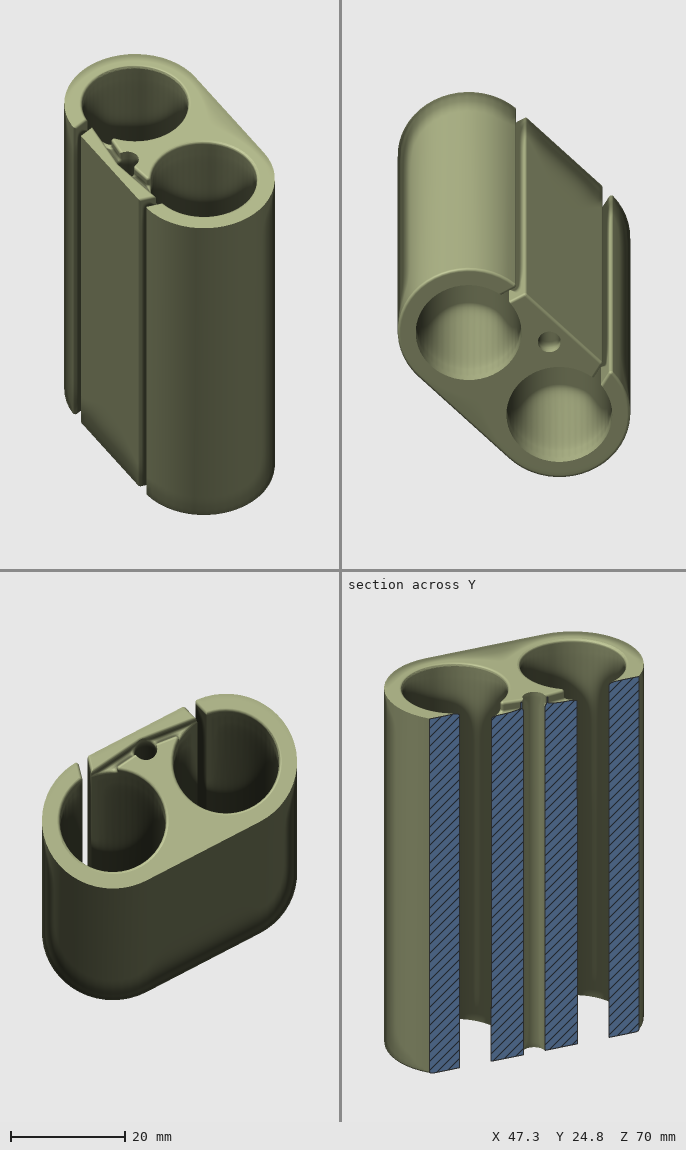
import cadquery as cq
import math

height = 70.0
bore_spacing = 22.49
outer_radius = 12.4
bore_radius = 9.25

slot_width = 1.75
slot_tilt = 15.0
slot_offset = 10.55
slot_length = 10.0

hole_diameter = 4.01
hole_y = -8.72

channel_width = 1.5
channel_depth = 2.0
channel_center_y = -9.8
channel_tilt = 6.5
channel_reach = 12.0

edge_radius = 0.5

overshoot = 1.0
slack = 0.05

half_spacing = bore_spacing / 2
channel_floor = height - channel_depth


def pick_edges(part, wanted):
    """Select the edges whose shape and bounding box satisfy the given test."""
    return part.newObject([edge for edge in part.edges().vals() if wanted(edge, edge.BoundingBox())])


def rounding_waste(part, wanted):
    """Material that rounding the chosen edges of a part takes away."""
    return part.cut(pick_edges(part, wanted).fillet(edge_radius))


def make_body():
    """Stadium block with its bottom outer edge rounded."""
    block = cq.Workplane("XY").slot2D(bore_spacing + 2 * outer_radius, 2 * outer_radius).extrude(height)
    return block.faces("<Z").edges().fillet(edge_radius)


def make_bores():
    """Two through bores, one at each end of the block."""
    centers = [(-half_spacing, 0), (half_spacing, 0)]
    return cq.Workplane("XY").pushPoints(centers).circle(bore_radius).extrude(height)


def make_slot(side):
    """Full-height slot through the front wall; side is -1 for left, +1 for right."""
    blade = cq.Workplane("XY").box(slot_width, slot_length, height, centered=(True, True, False))
    blade = blade.rotate((0, 0, 0), (0, 0, 1), -side * slot_tilt)
    return blade.translate((side * slot_offset, -outer_radius, 0))


def make_channel():
    """V-shaped channel whose floor corners are rounded."""
    tilt = math.radians(channel_tilt)
    rise = channel_reach * math.tan(tilt)
    half_width = channel_width / 2 / math.cos(tilt)
    front_y = channel_center_y - half_width
    back_y = channel_center_y + half_width
    outline = [
        (-channel_reach, front_y + rise),
        (0, front_y),
        (channel_reach, front_y + rise),
        (channel_reach, back_y + rise),
        (0, back_y),
        (-channel_reach, back_y + rise),
    ]
    floor = cq.Workplane("XY").workplane(offset=channel_floor)
    channel = floor.polyline(outline).close().extrude(channel_depth + overshoot)
    lengthwise = pick_edges(channel.faces("<Z"), lambda edge, box: box.xlen > slack)
    return lengthwise.fillet(edge_radius)


def make_hole():
    """Pin hole through the full height."""
    return cq.Workplane("XY").center(0, hole_y).circle(hole_diameter / 2).extrude(height)


def is_slot_mouth(edge, box):
    """Vertical outer corner of a slot, leaving out the seam where the end arc meets the flat front."""
    near_slot = abs(abs(box.center.x) - slot_offset) < slot_width
    on_seam = abs(abs(box.center.x) - half_spacing) < slack
    tall = box.zlen > height / 2
    return tall and near_slot and not on_seam and box.ymax < slack - outer_radius


def is_floor_end(edge, box):
    """Edge where the channel floor breaks into a bore."""
    middle = edge.positionAt(0.5)
    bore_distance = math.hypot(abs(middle.x) - half_spacing, middle.y)
    on_bore = abs(bore_distance - bore_radius) < slack
    near_floor = box.zmin > channel_floor - slack and box.zmax < height - slack
    return on_bore and near_floor and box.xlen > slack and box.zlen < channel_depth / 2


def is_top_rim(edge, box):
    """Bore rim, slot side, channel front or left channel back edge on the top face."""
    if box.zmin < height - slack:
        return False
    if edge.geomType() == "CIRCLE":
        return abs(edge.radius() - bore_radius) < slack
    off_outside = slack - outer_radius < box.center.y < 0
    right_back = box.center.x > 0 and box.ymin > channel_center_y
    return off_outside and not right_back


def is_hole_corner(edge, box):
    """Vertical edge where the pin hole breaks into a channel wall."""
    upright = channel_depth / 2 > box.zlen - slack - edge_radius and box.xlen < slack
    tall_enough = box.zlen > channel_depth / 2 - slack
    near_hole = abs(box.center.x) < hole_diameter / 2 + slack and box.ymax < hole_y - slack
    return upright and tall_enough and near_hole and box.zmin > channel_floor - slack


sharp = make_body().cut(make_bores())
for side in (-1, 1):
    sharp = sharp.cut(make_slot(side))
sharp = sharp.cut(make_channel())

mouth_waste = rounding_waste(sharp, is_slot_mouth)
corner_waste = rounding_waste(sharp.cut(make_hole()), is_hole_corner)

result = pick_edges(sharp, is_floor_end).fillet(edge_radius)
result = pick_edges(result, is_top_rim).fillet(edge_radius)
result = result.cut(make_hole())
result = result.cut(mouth_waste).cut(corner_waste)